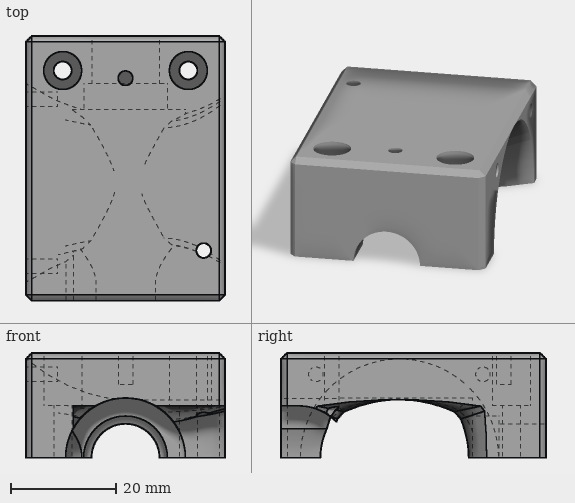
import cadquery as cq
import math

LENGTH_X = 38.0
LENGTH_Y = 50.5
HEIGHT = 20.0
CHAMFER = 1.15
MID_X = LENGTH_X / 2

CHAMBER_RADIUS = 11.4
CHAMBER_DEPTH = 36.45
SEAT_RADIUS = 8.0
SEAT_DEPTH = 5.0
BORE_RADIUS = 6.45

PASSAGE_Y = 22.5
ENTRY_RADIUS = 18.9
ENTRY_ANGLES = (0, 31.8, 39.8, 90)
ENTRY_OUTLINE = tuple(
    (ENTRY_RADIUS * math.cos(math.radians(angle)), ENTRY_RADIUS * math.sin(math.radians(angle)))
    for angle in ENTRY_ANGLES
)
THROAT_OUTLINE = ((12.6, 0), (11.6, 7.35), (10.45, 8.8), (0, 11.1))
EXIT_OUTLINE = ((16.65, 0), (16.25, 8.9), (15.55, 9.85), (0, 11.1))
THROAT_START_X = 19.7
THROAT_END_X = 25.75
FLARE_STEPS = 5

POCKET_START_X = 9.0
POCKET_RADIUS = 9.9
POCKET_CENTER_Y = 3.45

SCREW_SPACING = 23.95
SCREW_Y = 43.9
SCREW_DIAMETER = 3.4
HEAD_DIAMETER = 7.2
HEAD_DEPTH = 10.0
PIN_DIAMETER = 2.8
PIN_DEPTH = 6.0
REAR_PIN_Y = 42.4
THROUGH_PIN = (33.9, 9.6)
SIDE_PIN_SPACING = 31.8
SIDE_PIN_Z = 15.95


def rod_along_x(radius, y, z, start, length):
    return cq.Workplane("YZ", origin=(start, y, z)).circle(radius).extrude(length)


def rod_along_y(radius, start, length):
    return cq.Workplane("XZ", origin=(MID_X, start, 0)).circle(radius).extrude(-length)


def rod_down(diameter, x, y, depth):
    return cq.Workplane("XY", origin=(x, y, HEIGHT)).circle(diameter / 2).extrude(-depth)


def block():
    body = cq.Workplane("XY").box(LENGTH_X, LENGTH_Y, HEIGHT, centered=False)
    return body.edges("|Z or >Z").chamfer(CHAMFER)


def stepped_bore():
    chamber = rod_along_y(CHAMBER_RADIUS, 0, CHAMBER_DEPTH)
    seat = rod_along_y(SEAT_RADIUS, 0, CHAMBER_DEPTH + SEAT_DEPTH)
    return chamber.union(seat).union(rod_along_y(BORE_RADIUS, 0, LENGTH_Y))


def passage_section(x, mouth_outline, flare):
    """Closed outline at x; flare is 0 for the throat outline and 1 for the mouth outline."""
    side, low, high, top = [
        tuple(t + (m - t) * flare for t, m in zip(throat, mouth))
        for throat, mouth in zip(THROAT_OUTLINE, mouth_outline)
    ]

    corner_radius = (math.hypot(*low) + math.hypot(*high)) / 2
    corner_angle = (math.atan2(low[1], low[0]) + math.atan2(high[1], high[0])) / 2
    corner = (corner_radius * math.cos(corner_angle), corner_radius * math.sin(corner_angle))

    def arc(*points):
        return cq.Edge.makeThreePointArc(
            *[cq.Vector(x, PASSAGE_Y + y, z) for y, z in points]
        )

    edges = []
    for turn in (1, -1):
        low_right = (turn * low[0], turn * low[1])
        low_left = (-turn * low[0], turn * low[1])
        high_right = (turn * high[0], turn * high[1])
        high_left = (-turn * high[0], turn * high[1])
        corner_right = (turn * corner[0], turn * corner[1])
        corner_left = (-turn * corner[0], turn * corner[1])
        below_right = (turn * low[0], -turn * low[1])
        edges.append(arc(below_right, (turn * side[0], 0), low_right))
        edges.append(arc(low_right, corner_right, high_right))
        edges.append(arc(high_right, (0, turn * top[1]), high_left))
        edges.append(arc(high_left, corner_left, low_left))
    return cq.Wire.assembleEdges(edges)


def flared_passage():
    run_out = LENGTH_X - THROAT_END_X
    steps = [i / FLARE_STEPS for i in range(FLARE_STEPS + 1)]
    entry = [
        passage_section(THROAT_START_X * (1 - t), ENTRY_OUTLINE, t**2) for t in reversed(steps)
    ]
    leaving = [passage_section(THROAT_END_X + run_out * t, EXIT_OUTLINE, t**2) for t in steps]
    return cq.Workplane(cq.Solid.makeLoft(entry + leaving))


def round_ended_pocket():
    length = LENGTH_X - POCKET_START_X
    straight = cq.Workplane("XY", origin=(POCKET_START_X, 0, 0)).box(
        length, POCKET_CENTER_Y, POCKET_RADIUS, centered=False
    )
    return straight.union(rod_along_x(POCKET_RADIUS, POCKET_CENTER_Y, 0, POCKET_START_X, length))


def screw_holes():
    holes = cq.Workplane("XY")
    for side in (-1, 1):
        x = MID_X + side * SCREW_SPACING / 2
        holes = holes.add(rod_down(SCREW_DIAMETER, x, SCREW_Y, HEIGHT))
        holes = holes.add(rod_down(HEAD_DIAMETER, x, SCREW_Y, HEAD_DEPTH))
    return holes.combine()


def pin_holes():
    holes = rod_down(PIN_DIAMETER, MID_X, REAR_PIN_Y, PIN_DEPTH)
    holes = holes.add(rod_down(PIN_DIAMETER, *THROUGH_PIN, HEIGHT))
    for side in (-1, 1):
        y = PASSAGE_Y + side * SIDE_PIN_SPACING / 2
        holes = holes.add(rod_along_x(PIN_DIAMETER / 2, y, SIDE_PIN_Z, 0, PIN_DEPTH))
    return holes.combine()


result = block()
for cavity in (flared_passage(), stepped_bore(), round_ended_pocket(), screw_holes(), pin_holes()):
    result = result.cut(cavity)